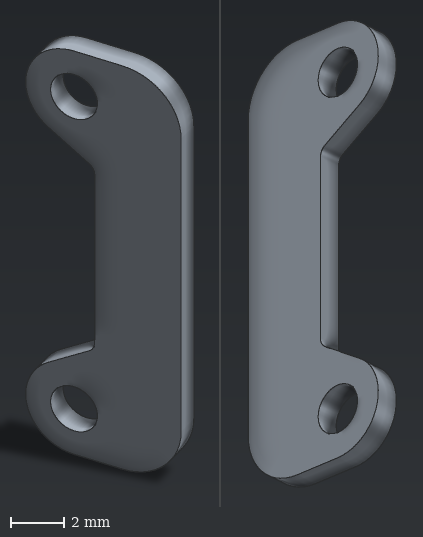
import cadquery as cq
import math

height = 18.3
width = 6.65
thickness = 1.0

ear_radius = 2.07
hole_diameter = 2.0
ear_x = ear_radius - width / 2
ear_z = height / 2 - ear_radius

bar_width = 3.7
corner_radius = 2.5
neck_fillet = 0.5
flank_angle = math.radians(32)

right_x = width / 2
top_z = height / 2
bar_left_x = right_x - bar_width

flank_x = ear_x - ear_radius * math.sin(flank_angle)
flank_z = ear_z - ear_radius * math.cos(flank_angle)
neck_z = flank_z - (bar_left_x - flank_x) * math.tan(flank_angle)

ear_mid = (ear_x - ear_radius, ear_z)
corner_offset = corner_radius * (1 - math.sqrt(0.5))
corner_mid = (right_x - corner_offset, top_z - corner_offset)


def mirrored(point):
    """Return the point reflected to the lower half of the part."""
    return (point[0], -point[1])


def make_plate():
    """Extrude the C-shaped outline, centred on the XZ plane."""
    ear_top = (ear_x, top_z)
    corner_start = (right_x - corner_radius, top_z)
    corner_end = (right_x, top_z - corner_radius)
    flank_start = (flank_x, flank_z)
    neck = (bar_left_x, neck_z)
    return (
        cq.Workplane("XZ", origin=(0, thickness / 2, 0))
        .moveTo(*ear_top)
        .lineTo(*corner_start)
        .threePointArc(corner_mid, corner_end)
        .lineTo(*mirrored(corner_end))
        .threePointArc(mirrored(corner_mid), mirrored(corner_start))
        .lineTo(*mirrored(ear_top))
        .threePointArc(mirrored(ear_mid), mirrored(flank_start))
        .lineTo(*mirrored(neck))
        .lineTo(*neck)
        .lineTo(*flank_start)
        .threePointArc(ear_mid, ear_top)
        .close()
        .extrude(thickness)
    )


def round_necks(plate):
    """Fillet the two inner corners where the ear flanks meet the bar."""
    for z in (neck_z, -neck_z):
        corner = cq.selectors.NearestToPointSelector((bar_left_x, 0, z))
        plate = plate.edges("|Y").edges(corner).fillet(neck_fillet)
    return plate


def make_holes():
    """Cylinders through both ears."""
    return (
        cq.Workplane("XZ", origin=(0, thickness / 2, 0))
        .pushPoints([(ear_x, ear_z), (ear_x, -ear_z)])
        .circle(hole_diameter / 2)
        .extrude(thickness)
    )


result = round_necks(make_plate()).cut(make_holes())